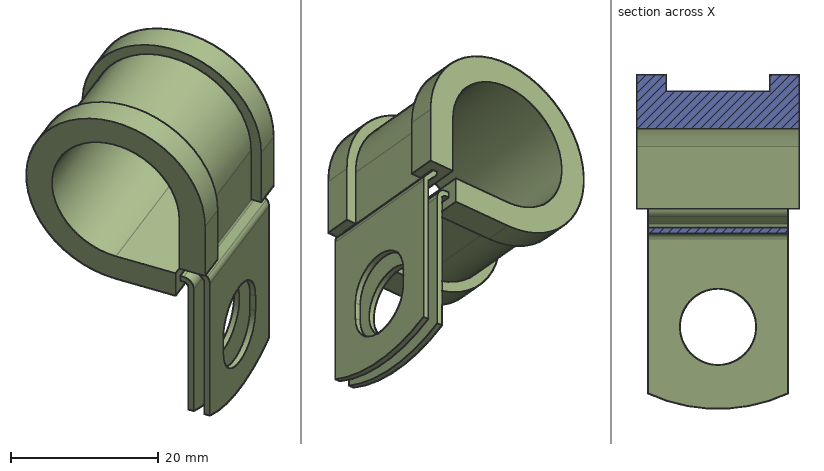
import cadquery as cq
import math

overall_height = 49.05

outer_radius = 13.4
inner_radius = 9.5
cushion_width = 22.1
groove_width = 14.0
lower_leg_end_x = 9.0
upper_leg_end_z = -8.55

strap_thickness = 0.85
strap_width = 19.05
strap_outer_radius = 11.87
strap_inner_radius = strap_outer_radius - strap_thickness

tab_gap = 1.55
front_tab_right_x = outer_radius
front_tab_left_x = front_tab_right_x - strap_thickness
rear_tab_right_x = front_tab_left_x - tab_gap
rear_tab_left_x = rear_tab_right_x - strap_thickness
tip_z = outer_radius - overall_height
tip_arc_height = 2.1
hole_diameter = 10.3
slot_length = 12.85
hole_z = -24.55

rear_bend_inner_radius = 0.75
rear_bend_outer_radius = rear_bend_inner_radius + strap_thickness
jog_inner_radius = 0.55
jog_outer_radius = jog_inner_radius + strap_thickness
jog_centre_start_z = -8.95
jog_angle = math.radians(45)
front_tab_embed = 0.5


def extrude_centred(profile, width):
    """Extrude an XZ profile symmetrically about Y = 0."""
    return profile.extrude(width / 2, both=True)


def loop(small_radius, large_radius, width):
    """Three-quarter ring with a straight lower leg (+X) and a straight upper leg (-Z)."""
    profile = (
        cq.Workplane("XZ")
        .moveTo(lower_leg_end_x, -large_radius)
        .lineTo(0, -large_radius)
        .threePointArc(arc_middle(large_radius), (large_radius, 0))
        .lineTo(large_radius, upper_leg_end_z)
        .lineTo(small_radius, upper_leg_end_z)
        .lineTo(small_radius, 0)
        .threePointArc(arc_middle(small_radius), (0, -small_radius))
        .lineTo(lower_leg_end_x, -small_radius)
        .close()
    )
    return extrude_centred(profile, width)


def arc_middle(radius):
    """Middle of the arc running over the upper left of the loop."""
    offset = radius * math.sqrt(0.5)
    return (-offset, offset)


def round_corner(body, x, z, radius):
    """Round the bend edge that runs along Y through the point (x, z)."""
    edge = cq.selectors.NearestToPointSelector((x, 0, z))
    return body.edges("|Y").edges(edge).fillet(radius)


def rear_tab():
    """Tab that leaves the lower leg horizontally and turns down."""
    profile = cq.Workplane("XZ").polyline([
        (lower_leg_end_x, -strap_inner_radius),
        (rear_tab_right_x, -strap_inner_radius),
        (rear_tab_right_x, tip_z),
        (rear_tab_left_x, tip_z),
        (rear_tab_left_x, -strap_outer_radius),
        (lower_leg_end_x, -strap_outer_radius),
    ]).close()
    tab = extrude_centred(profile, strap_width)
    tab = round_corner(tab, rear_tab_right_x, -strap_inner_radius, rear_bend_outer_radius)
    return round_corner(tab, rear_tab_left_x, -strap_outer_radius, rear_bend_inner_radius)


def front_tab():
    """Tab that leaves the upper leg downward and jogs outward."""
    jog_drop = (front_tab_right_x - strap_outer_radius) / math.tan(jog_angle)
    miter_offset = strap_thickness / 2 * math.tan(jog_angle / 2)
    right_start_z = jog_centre_start_z + miter_offset
    left_start_z = jog_centre_start_z - miter_offset
    right_end_z = right_start_z - jog_drop
    left_end_z = left_start_z - jog_drop
    top_z = upper_leg_end_z + front_tab_embed
    profile = cq.Workplane("XZ").polyline([
        (strap_inner_radius, top_z),
        (strap_outer_radius, top_z),
        (strap_outer_radius, right_start_z),
        (front_tab_right_x, right_end_z),
        (front_tab_right_x, tip_z),
        (front_tab_left_x, tip_z),
        (front_tab_left_x, left_end_z),
        (strap_inner_radius, left_start_z),
    ]).close()
    tab = extrude_centred(profile, strap_width)
    tab = round_corner(tab, strap_outer_radius, right_start_z, jog_inner_radius)
    tab = round_corner(tab, front_tab_right_x, right_end_z, jog_outer_radius)
    tab = round_corner(tab, front_tab_left_x, left_end_z, jog_inner_radius)
    return round_corner(tab, strap_inner_radius, left_start_z, jog_outer_radius)


def tab_outline():
    """Prism along X that gives both tabs their width and rounded tip."""
    half_width = strap_width / 2
    shoulder_z = tip_z + tip_arc_height
    return (
        cq.Workplane("YZ")
        .moveTo(-half_width, 0)
        .lineTo(-half_width, shoulder_z)
        .threePointArc((0, tip_z), (half_width, shoulder_z))
        .lineTo(half_width, 0)
        .close()
        .extrude(outer_radius)
    )


def bolt_hole():
    """Round cutter for the rear tab."""
    return cq.Workplane("YZ").center(0, hole_z).circle(hole_diameter / 2).extrude(outer_radius)


def bolt_slot():
    """Upright slot cutter for the front tab, centred on the bolt hole."""
    return cq.Workplane("YZ").center(0, hole_z).slot2D(slot_length, hole_diameter, 90).extrude(outer_radius)


cushion = loop(inner_radius, outer_radius, cushion_width)
groove = loop(strap_outer_radius, outer_radius, groove_width)
finished_rear_tab = rear_tab().intersect(tab_outline()).cut(bolt_hole())
finished_front_tab = front_tab().intersect(tab_outline()).cut(bolt_slot())
result = cushion.cut(groove).union(finished_rear_tab).union(finished_front_tab)